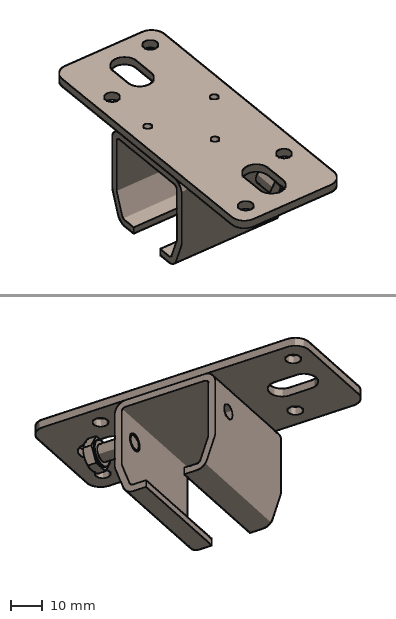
import cadquery as cq
import math

PLATE_LENGTH = 100.0
PLATE_WIDTH = 40.0
PLATE_THICKNESS = 3.0
PLATE_CORNER_RADIUS = 5.0

HOLE_DIAMETER = 5.0
HOLE_Y = 13.0
OUTER_HOLE_X = 43.0
INNER_HOLE_X = 28.0
SLOT_LENGTH = 17.0
SLOT_WIDTH = 9.0
SLOT_X = 35.0
DIMPLE_DIAMETER = 2.8
DIMPLE_X = 9.0

RAIL_WIDTH = 37.0
RAIL_HEIGHT = 35.0
RAIL_WALL = 2.5
RAIL_BEND_RADIUS = 4.0
RAIL_SHOULDER_DEPTH = 24.0
RAIL_FLANK_ANGLE = 20.0
RAIL_MOUTH = 14.0
WALL_HOLE_DIAMETER = 5.0

BOLT_Y = 12.0
BOLT_Z = -11.0
BOLT_DIAMETER = 6.0
BOLT_TIP_DIAMETER = 4.9
BOLT_LENGTH = 12.0
HEAD_HEIGHT = 4.0
HEAD_ACROSS_FLATS = 10.0
HEAD_CHAMFER_ANGLE = 30.0
COLLAR_DIAMETER = 8.9
COLLAR_HEIGHT = 0.5

RAIL_INNER_X = RAIL_WIDTH / 2 - RAIL_WALL


def make_plate():
    plate = (
        cq.Workplane("XY")
        .box(PLATE_LENGTH, PLATE_WIDTH, PLATE_THICKNESS, centered=(True, True, False))
        .edges("|Z")
        .fillet(PLATE_CORNER_RADIUS)
    )
    hole_centers = [
        (-OUTER_HOLE_X, HOLE_Y),
        (INNER_HOLE_X, HOLE_Y),
        (-INNER_HOLE_X, -HOLE_Y),
        (OUTER_HOLE_X, -HOLE_Y),
    ]
    holes = cq.Workplane("XY").pushPoints(hole_centers).circle(HOLE_DIAMETER / 2).extrude(PLATE_THICKNESS)
    slots = (
        cq.Workplane("XY")
        .pushPoints([(-SLOT_X, 0), (SLOT_X, 0)])
        .slot2D(SLOT_LENGTH, SLOT_WIDTH)
        .extrude(PLATE_THICKNESS)
    )
    dimples = (
        cq.Workplane("XY", origin=(0, 0, PLATE_THICKNESS))
        .pushPoints([(-DIMPLE_X, HOLE_Y), (-DIMPLE_X, -HOLE_Y), (DIMPLE_X, 0)])
        .sphere(DIMPLE_DIAMETER / 2)
    )
    return plate.cut(holes).cut(slots).cut(dimples)


def make_rail():
    half_width = RAIL_WIDTH / 2
    flank_drop = RAIL_HEIGHT - RAIL_SHOULDER_DEPTH
    half_bottom = half_width - flank_drop * math.tan(math.radians(RAIL_FLANK_ANGLE))
    outline = [
        (-half_width, 0),
        (half_width, 0),
        (half_width, -RAIL_SHOULDER_DEPTH),
        (half_bottom, -RAIL_HEIGHT),
        (-half_bottom, -RAIL_HEIGHT),
        (-half_width, -RAIL_SHOULDER_DEPTH),
    ]
    outside = (
        cq.Workplane("XZ", origin=(0, PLATE_WIDTH / 2, 0))
        .polyline(outline)
        .close()
        .extrude(PLATE_WIDTH)
        .edges("|Y")
        .fillet(RAIL_BEND_RADIUS)
    )
    inside = outside.faces("<Y").wires().toPending().offset2D(-RAIL_WALL).extrude(-PLATE_WIDTH, combine=False)
    mouth = cq.Workplane("XY", origin=(0, 0, -RAIL_HEIGHT)).box(RAIL_MOUTH, PLATE_WIDTH, 2 * RAIL_WALL)
    open_hole = (
        cq.Workplane("YZ", origin=(-half_width, BOLT_Y, BOLT_Z))
        .circle(WALL_HOLE_DIAMETER / 2)
        .extrude(RAIL_WALL)
    )
    bolt_hole = (
        cq.Workplane("YZ", origin=(RAIL_INNER_X, BOLT_Y, BOLT_Z))
        .circle(BOLT_DIAMETER / 2)
        .extrude(RAIL_WALL)
    )
    return outside.cut(inside).cut(mouth).cut(open_hole).cut(bolt_hole)


def make_bolt():
    tip_chamfer = (BOLT_DIAMETER - BOLT_TIP_DIAMETER) / 2
    shank = (
        cq.Workplane("YZ", origin=(RAIL_INNER_X, BOLT_Y, BOLT_Z))
        .circle(BOLT_DIAMETER / 2)
        .extrude(BOLT_LENGTH)
        .faces("<X")
        .chamfer(tip_chamfer)
    )
    collar = shank.faces(">X").workplane().circle(COLLAR_DIAMETER / 2).extrude(COLLAR_HEIGHT, combine=False)
    across_corners = HEAD_ACROSS_FLATS / math.cos(math.pi / 6)
    hexagon_height = HEAD_HEIGHT - COLLAR_HEIGHT
    hexagon = (
        collar.faces(">X").workplane().polygon(6, across_corners).extrude(hexagon_height, combine=False)
    )
    bevel_width = (across_corners - HEAD_ACROSS_FLATS) / 2
    bevel_depth = bevel_width * math.tan(math.radians(HEAD_CHAMFER_ANGLE))
    blank = (
        collar.faces(">X")
        .workplane()
        .circle(across_corners / 2)
        .extrude(hexagon_height, combine=False)
        .faces(">X")
        .chamfer(bevel_depth, bevel_width)
    )
    return shank.union(collar).union(hexagon.intersect(blank))


plate = make_plate().solids()
rail = make_rail().solids()
bolt = make_bolt().solids()

result = cq.Compound.makeCompound([plate.val(), rail.val(), bolt.val()])